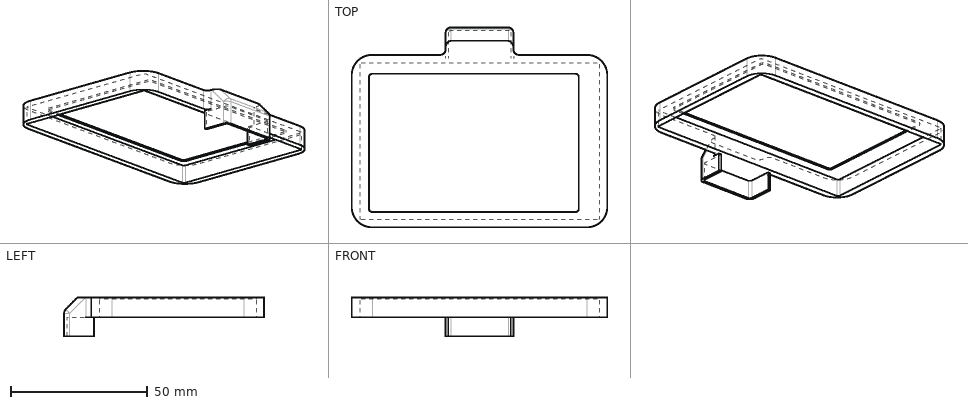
import cadquery as cq

frame_width = 94.0
total_depth = 73.5
total_height = 14.4
hook_reach = 10.1
frame_thickness = 7.3
frame_corner_radius = 7.5
frame_depth = total_depth - hook_reach
frame_bottom = total_height - frame_thickness

margin_left = 6.4
margin_right = 10.5
margin_front = 5.7
margin_back = 7.05
window_corner_radius = 1.1

lip_thickness = 0.6
pocket_wall = 2.9
pocket_corner_radius = 0.8

hook_width = 25.0
hook_wall = 1.0
hook_overlap = 1.0
hook_slope = 5.0
hook_edge_radius = 2.0
hook_root_radius = 2.0


def box_between(x_range, y_range, z_range):
    """Box spanning the given (low, high) pairs along each axis."""
    size = [high - low for low, high in (x_range, y_range, z_range)]
    corner = (x_range[0], y_range[0], z_range[0])
    return cq.Workplane("XY").box(*size, centered=False).translate(corner)


def make_frame_plate():
    plate = box_between(
        (-frame_width / 2, frame_width / 2), (0, frame_depth), (frame_bottom, total_height)
    )
    return plate.edges("|Z").fillet(frame_corner_radius)


def make_window():
    window = box_between(
        (margin_left - frame_width / 2, frame_width / 2 - margin_right),
        (margin_front, frame_depth - margin_back),
        (frame_bottom, total_height),
    )
    return window.edges("|Z").fillet(window_corner_radius)


def make_pocket():
    half_width = frame_width / 2 - pocket_wall
    pocket = box_between(
        (-half_width, half_width),
        (pocket_wall, frame_depth - pocket_wall),
        (frame_bottom, total_height - lip_thickness),
    )
    return pocket.edges("|Z").fillet(pocket_corner_radius)


def make_hook():
    """Hook block with its sloped corner and rounded outer edges."""
    block = box_between(
        (-hook_width / 2, hook_width / 2),
        (frame_depth - hook_overlap, total_depth),
        (0, total_height),
    )
    block = block.edges(">Y and >Z").chamfer(hook_slope)
    slope_face = block.faces(cq.selectors.DirectionMinMaxSelector(cq.Vector(0, 1, 1)))
    sides = slope_face.edges("not |X")
    slope_foot = block.faces(">Y").edges(">Z")
    verticals = block.faces(">Y").edges("|Z")
    return sides.add(slope_foot).add(verticals).fillet(hook_edge_radius)


def make_hook_hollow():
    """Space below the frame's underside, open to the front and below."""
    half_width = hook_width / 2 - hook_wall
    hollow = box_between(
        (-half_width, half_width),
        (frame_depth - hook_overlap, total_depth - hook_wall),
        (0, frame_bottom),
    )
    return hollow.edges("|Z and >Y").fillet(hook_edge_radius - hook_wall)


def round_hook_roots(body):
    """Fillet the two inside corners where the hook leaves the frame's back edge."""
    tolerance = 0.1
    for side in (-1, 1):
        x = side * hook_width / 2
        root = cq.selectors.BoxSelector(
            (x - tolerance, frame_depth - tolerance, frame_bottom),
            (x + tolerance, frame_depth + tolerance, total_height),
        )
        body = body.edges(root).edges("|Z").fillet(hook_root_radius)
    return body


body = make_frame_plate().union(make_hook())
body = round_hook_roots(body)
result = body.cut(make_hook_hollow()).cut(make_pocket()).cut(make_window())